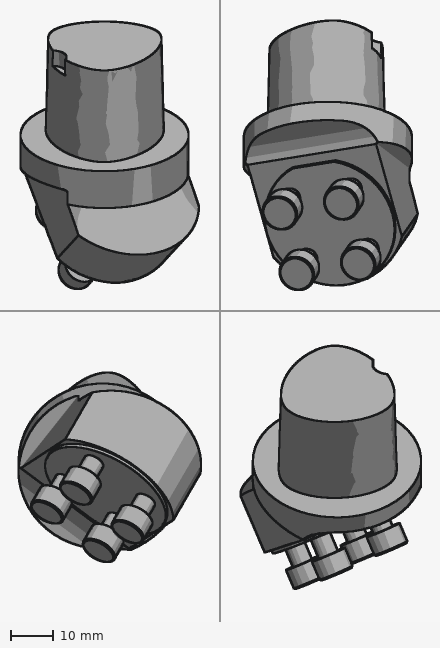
import cadquery as cq
import math

FLANGE_RADIUS = 20.0
FLANGE_RIM = 4.8
FLANGE_DEEP_RIM = 9.7
CONE_ANGLE = 30
CONE_DEPTH = 36.8

SHANK_HEIGHT = 23.9
SHANK_BASE_RADIUS = 14.05
SHANK_TOP_RADIUS = 13.5
LOBE_RISE = 0.9
OUTLINE_POINTS = 48

NOTCH_RADIUS = 3.7
NOTCH_CENTER_Y = -14.55
NOTCH_DEPTH = 4.05

FACE_OFFSET = 19.65
RELIEF_START_X = -17.3
RELIEF_END_X = -10.55

BLOCK_HALF_WIDTH = 16.4
BLOCK_END_RADIUS = 18.7
BLOCK_END = 32.6
SIDE_FILLET = 0.75
SIDE_SLOPE = 7
SIDE_TILT = 15
SIDE_ROOF = 6.55

PAD_RADIUS = 15.95
PAD_CENTER = 16.4
PAD_FLAT = 15.05
PAD_THICKNESS = 1.0

SCREW_SPACING = 15.65
SCREW_SHANK_DIAMETER = 5.0
SCREW_HEAD_DIAMETER = 8.5
SCREW_HEAD_HEIGHT = 5.0
SCREW_HEAD_START = 6.0
SCREW_HEAD_CHAMFER = 0.3

REACH = 122.75

FACE = cq.Plane(
    origin=(-FACE_OFFSET / 2, 0, -FACE_OFFSET / 2),
    xDir=(1, 0, -1),
    normal=(-1, 0, -1),
)


def lobed_outline(mean_radius):
    """Points of a three-lobed outline of constant width, with one lobe on +Y."""
    points = []
    for i in range(OUTLINE_POINTS):
        angle = 2 * math.pi * i / OUTLINE_POINTS
        phase = 3 * (angle - math.pi / 2)
        support = mean_radius + LOBE_RISE * math.cos(phase)
        slope = -3 * LOBE_RISE * math.sin(phase)
        x = support * math.cos(angle) - slope * math.sin(angle)
        y = support * math.sin(angle) + slope * math.cos(angle)
        points.append((x, y))
    return points


def make_shank():
    """Tapered lobed shank with a round notch in the -Y flank at the top."""
    shank = (
        cq.Workplane("XY")
        .spline(lobed_outline(SHANK_BASE_RADIUS), periodic=True)
        .close()
        .workplane(offset=SHANK_HEIGHT)
        .spline(lobed_outline(SHANK_TOP_RADIUS), periodic=True)
        .close()
        .loft(ruled=True)
    )
    notch = (
        cq.Workplane("XY", origin=(0, NOTCH_CENTER_Y, SHANK_HEIGHT - NOTCH_DEPTH))
        .circle(NOTCH_RADIUS)
        .extrude(NOTCH_DEPTH)
    )
    return shank.cut(notch)


def make_flange_and_cone():
    """Flange cylinder that flares into a cone below."""
    cone_bottom_radius = FLANGE_RADIUS + CONE_DEPTH * math.tan(math.radians(CONE_ANGLE))
    cone_bottom = -FLANGE_DEEP_RIM - CONE_DEPTH
    return (
        cq.Workplane("XZ")
        .moveTo(0, 0)
        .lineTo(FLANGE_RADIUS, 0)
        .lineTo(FLANGE_RADIUS, -FLANGE_DEEP_RIM)
        .lineTo(cone_bottom_radius, cone_bottom)
        .lineTo(0, cone_bottom)
        .close()
        .revolve(360, (0, 0, 0), (0, 1, 0))
    )


def make_side_profile():
    """Material above the rim underside, the relief arc and the mounting face."""
    relief_end_z = -FACE_OFFSET - RELIEF_END_X
    return (
        cq.Workplane("XZ")
        .moveTo(-REACH, 0)
        .lineTo(-REACH, -FLANGE_RIM)
        .lineTo(RELIEF_START_X, -FLANGE_RIM)
        .tangentArcPoint((RELIEF_END_X, relief_end_z), relative=False)
        .lineTo(REACH, -FACE_OFFSET - REACH)
        .lineTo(REACH, 0)
        .close()
        .extrude(REACH, both=True)
    )


def make_end_limit():
    """Round-ended prism, square to the mounting face, that bounds the block."""
    end_center = BLOCK_END - BLOCK_END_RADIUS
    round_end = cq.Workplane(FACE).center(end_center, 0).circle(BLOCK_END_RADIUS)
    straight = cq.Workplane(FACE).center(end_center - REACH / 2, 0).rect(REACH, REACH)
    return round_end.extrude(REACH, both=True).union(straight.extrude(REACH, both=True))


def make_side_cutter(side):
    """Space beside the block, under the flange; side is +1 or -1 along Y."""
    outer_y = FLANGE_RADIUS + REACH
    roof_tilt = math.tan(math.radians(SIDE_TILT))
    inner_roof_z = -SIDE_ROOF - (FLANGE_RADIUS - BLOCK_HALF_WIDTH) * roof_tilt
    outer_roof_z = -SIDE_ROOF + REACH * roof_tilt
    return (
        cq.Workplane("YZ")
        .moveTo(side * BLOCK_HALF_WIDTH, -REACH)
        .lineTo(side * BLOCK_HALF_WIDTH, inner_roof_z)
        .lineTo(side * outer_y, outer_roof_z)
        .lineTo(side * outer_y, -REACH)
        .close()
        .extrude(REACH, both=True)
        .edges(cq.selectors.NearestToPointSelector((0, side * BLOCK_HALF_WIDTH, inner_roof_z)))
        .fillet(SIDE_FILLET)
        .rotate((0, 0, -SIDE_ROOF), (0, 1, -SIDE_ROOF), -SIDE_SLOPE)
    )


def make_head():
    """Flange and angled block in one piece."""
    head = make_flange_and_cone().intersect(make_side_profile()).intersect(make_end_limit())
    for side in (-1, 1):
        head = head.cut(make_side_cutter(side))
    return head


def make_pad():
    """Round raised pad on the mounting face, with a flat upper edge."""
    flat_half_chord = math.sqrt(PAD_RADIUS**2 - PAD_FLAT**2)
    return (
        cq.Workplane(FACE)
        .center(PAD_CENTER, 0)
        .moveTo(-PAD_FLAT, -flat_half_chord)
        .threePointArc((PAD_RADIUS, 0), (-PAD_FLAT, flat_half_chord))
        .close()
        .extrude(PAD_THICKNESS)
    )


def make_screws():
    """Four cap screws standing out of the pad."""
    screw_layout = cq.Workplane(FACE).center(PAD_CENTER, 0)
    shanks = (
        screw_layout.rarray(SCREW_SPACING, SCREW_SPACING, 2, 2)
        .circle(SCREW_SHANK_DIAMETER / 2)
        .extrude(SCREW_HEAD_START)
    )
    heads = (
        screw_layout.workplane(offset=SCREW_HEAD_START)
        .rarray(SCREW_SPACING, SCREW_SPACING, 2, 2)
        .circle(SCREW_HEAD_DIAMETER / 2)
        .extrude(SCREW_HEAD_HEIGHT)
        .faces(cq.selectors.DirectionMinMaxSelector(FACE.zDir, True))
        .edges()
        .chamfer(SCREW_HEAD_CHAMFER)
    )
    return shanks.union(heads)


result = make_head().union(make_shank()).union(make_pad()).union(make_screws())